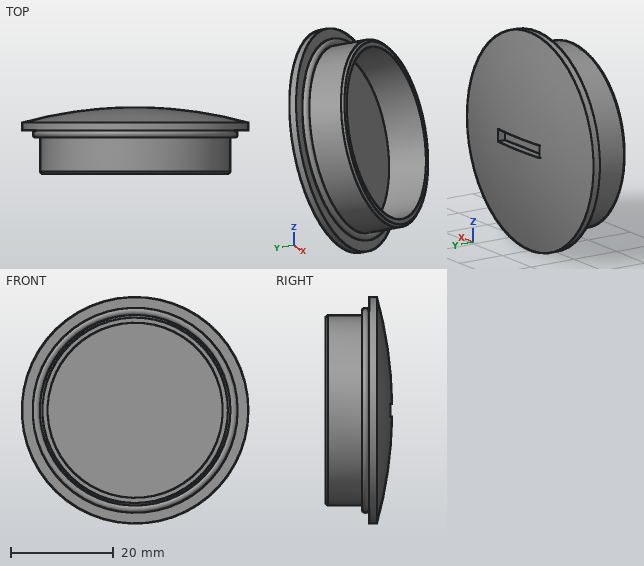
import cadquery as cq
import math


flange_radius = 22.0
flange_thickness = 1.5
crown_height = 3.0
crown_radius = (flange_radius**2 + crown_height**2) / (2 * crown_height)
crown_top = flange_thickness + crown_height

barrel_radius = 18.5
barrel_length = 8.5
barrel_chamfer = 0.5
cavity_radius = 17.0
cavity_depth = 8.0

bead_section_radius = 0.7
bead_center_radius = barrel_radius + bead_section_radius
bead_center_y = -bead_section_radius

slot_length = 14.4
slot_width = 2.5
slot_depth = 2.0


def make_body():
    """Flange, domed crown and chamfered barrel as one turned profile."""
    half_angle = math.asin(flange_radius / crown_radius) / 2
    crown_middle = (
        crown_radius * math.sin(half_angle),
        crown_top - crown_radius * (1 - math.cos(half_angle)),
    )
    return (
        cq.Workplane("XY")
        .moveTo(0, -barrel_length)
        .lineTo(barrel_radius - barrel_chamfer, -barrel_length)
        .lineTo(barrel_radius, barrel_chamfer - barrel_length)
        .lineTo(barrel_radius, 0)
        .lineTo(flange_radius, 0)
        .lineTo(flange_radius, flange_thickness)
        .threePointArc(crown_middle, (0, crown_top))
        .close()
        .revolve(360, (0, 0), (0, 1))
    )


def make_cavity():
    """Round cavity, open at the free end of the barrel."""
    return (
        cq.Workplane("XZ", origin=(0, -barrel_length, 0))
        .circle(cavity_radius)
        .extrude(-cavity_depth)
    )


def make_bead():
    """Round bead in the corner between flange and barrel, solid into the corner."""
    outer_diagonal = bead_section_radius * math.sqrt(0.5)
    return (
        cq.Workplane("XY")
        .moveTo(barrel_radius, bead_center_y)
        .threePointArc(
            (bead_center_radius + outer_diagonal, bead_center_y - outer_diagonal),
            (bead_center_radius, 0),
        )
        .lineTo(barrel_radius, 0)
        .close()
        .revolve(360, (0, 0), (0, 1))
    )


def make_slot():
    """Flat-bottomed slot sunk from the top of the crown."""
    return (
        cq.Workplane("XZ", origin=(0, crown_top, 0))
        .rect(slot_length, slot_width)
        .extrude(slot_depth)
    )


result = make_body().cut(make_cavity()).union(make_bead()).cut(make_slot())